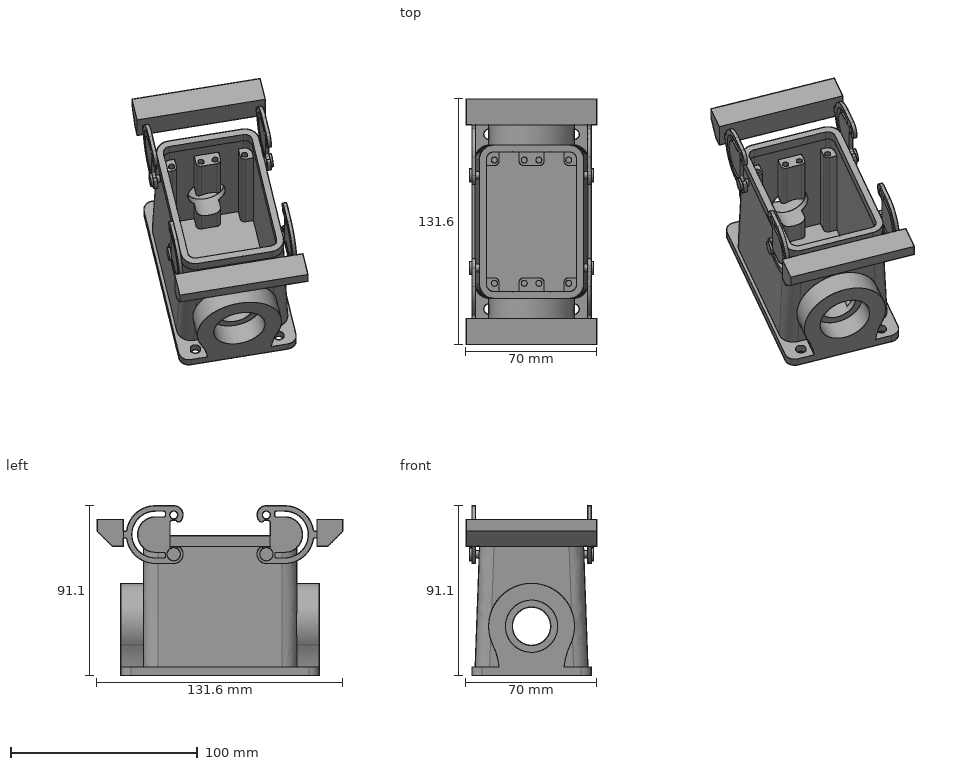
import cadquery as cq

flange_half_x = 32.0
flange_half_y = 53.2
flange_thickness = 4.8
flange_corner_radius = 5.5
flange_hole_diameter = 5.5
flange_hole_x = 22.75
flange_hole_y = 46.8

shell_foot_half_x = 30.25
shell_half_x = 27.9
shell_half_y = 41.1
shell_corner_radius = 7.8
wall_thickness = 3.7
floor_top = flange_thickness
shell_top = 69.3
rim_top = 75.0
cavity_half_x = shell_half_x - wall_thickness
cavity_half_y = shell_half_y - wall_thickness
cavity_corner_radius = shell_corner_radius - wall_thickness

entry_height = 26.5
entry_radius = 23.0
entry_flare_radius = 35.0
entry_flare_z = 16.5
entry_bore_radius = 14.0
entry_bore_depth = flange_half_y - shell_half_y
entry_hole_radius = 10.2

post_top = 62.5
post_front_y = 30.1
post_edge_radius = 2.5
corner_post_inner_x = 17.4
middle_post_half_x = 6.7
post_hole_x = (3.9, 19.9)
post_hole_y = 33.0
post_hole_diameter = 3.2
post_hole_depth = 12.0

plate_inner_x = 30.0
plate_thickness = 2.0
plate_outer_x = plate_inner_x + plate_thickness
lever_height = 75.6
plate_center_y = 34.7
plate_radius = 15.5
plate_edge_y = 26.8
slot_outer_radius = 12.5
slot_inner_radius = 9.5
slot_end_y = 29.3
slot_end_fillet = 0.8

eye_radius = 5.0
eye_y = 24.8
eye_offset_z = plate_radius - eye_radius
eye_hole_diameter = 4.1
notch_offset_z = 7.6
notch_fillet = 1.3
tip_start_y = 21.0
tip_end_y = 23.6

pin_diameter = 4.1
pin_head_diameter = 7.1
pin_head_thickness = 1.3
pin_height = lever_height - eye_offset_z

bar_half_x = 35.0
bar_inner_y = 51.8
bar_outer_y = 65.8
bar_top = 83.7
bar_bottom = 69.3
bar_chamfer = 8.1
stub_width = 3.8
stub_fillet = 0.6


def rounded_prism(half_x, half_y, radius, bottom, top):
    """Upright rectangular prism with rounded vertical edges."""
    prism = cq.Workplane("XY").workplane(offset=bottom).rect(2 * half_x, 2 * half_y)
    return prism.extrude(top - bottom).edges("|Z").fillet(radius)


def rounded_rectangle(half_x, half_y, radius):
    return cq.Sketch().rect(2 * half_x, 2 * half_y).vertices().fillet(radius)


def box_between(x_range, y_range, z_range):
    size = [end - start for start, end in (x_range, y_range, z_range)]
    corner = (x_range[0], y_range[0], z_range[0])
    return cq.Workplane("XY").box(*size, centered=False).translate(corner)


def both_sides(shape, plane):
    """The shape together with its mirror image."""
    return shape.union(shape.mirror(plane))


def make_flange():
    flange = rounded_prism(flange_half_x, flange_half_y, flange_corner_radius, 0, flange_thickness)
    holes = (
        cq.Workplane("XY")
        .rect(2 * flange_hole_x, 2 * flange_hole_y, forConstruction=True)
        .vertices()
        .circle(flange_hole_diameter / 2)
        .extrude(flange_thickness)
    )
    return flange.cut(holes)


def make_shell():
    foot = rounded_rectangle(shell_foot_half_x, shell_half_y, shell_corner_radius)
    head = rounded_rectangle(shell_half_x, shell_half_y, shell_corner_radius)
    head = head.moved(cq.Location(cq.Vector(0, 0, shell_top - flange_thickness)))
    return cq.Workplane("XY").workplane(offset=flange_thickness).placeSketch(foot, head).loft(ruled=True)


def make_cavity():
    return rounded_prism(cavity_half_x, cavity_half_y, cavity_corner_radius, floor_top, rim_top)


def make_entry_boss():
    """Round boss at the +Y end whose sides flare in to a narrower foot on the flange."""
    flare_x = (entry_radius**2 - (entry_height - entry_flare_z) ** 2) ** 0.5
    reach = (entry_radius + entry_flare_radius) / entry_radius
    flare_center_x = flare_x * reach
    flare_center_z = entry_height - (entry_height - entry_flare_z) * reach
    foot_rise = flange_thickness - flare_center_z
    foot_x = flare_center_x - (entry_flare_radius**2 - foot_rise**2) ** 0.5
    boss = (
        cq.Workplane("XZ", origin=(0, flange_half_y, 0))
        .moveTo(-foot_x, 0)
        .lineTo(-foot_x, flange_thickness)
        .radiusArc((-flare_x, entry_flare_z), -entry_flare_radius)
        .threePointArc((0, entry_height + entry_radius), (flare_x, entry_flare_z))
        .radiusArc((foot_x, flange_thickness), -entry_flare_radius)
        .lineTo(foot_x, 0)
        .close()
        .extrude(flange_half_y - cavity_half_y)
    )
    return boss


def make_entry_bore():
    """Stepped cable hole through the boss, the wall and the middle post at the +Y end."""
    start = cq.Workplane("XZ", origin=(0, flange_half_y, entry_height))
    bore = start.circle(entry_bore_radius).extrude(entry_bore_depth)
    return bore.union(start.circle(entry_hole_radius).extrude(flange_half_y - post_front_y))


def make_posts():
    """Two corner posts and one middle post along the +Y wall, with blind screw holes."""
    y_range = (post_front_y, cavity_half_y)
    z_range = (floor_top, post_top)
    corner = box_between((corner_post_inner_x, cavity_half_x), y_range, z_range)
    corner = corner.edges("|Z and <X and <Y").fillet(post_edge_radius)
    corner = corner.edges("|Z and >X and >Y").fillet(cavity_corner_radius)
    middle = box_between((-middle_post_half_x, middle_post_half_x), y_range, z_range)
    middle = middle.edges("|Z and <Y").fillet(post_edge_radius)
    hole_points = [(side * x, post_hole_y) for x in post_hole_x for side in (-1, 1)]
    holes = (
        cq.Workplane("XY")
        .workplane(offset=post_top - post_hole_depth)
        .pushPoints(hole_points)
        .circle(post_hole_diameter / 2)
        .extrude(post_hole_depth)
    )
    return both_sides(corner, "YZ").union(middle).cut(holes)


def make_slot(start):
    """U-shaped slot that leaves a ring around the solid middle of a plate."""
    slot = (
        start.moveTo(slot_end_y, slot_inner_radius)
        .lineTo(plate_center_y, slot_inner_radius)
        .threePointArc((plate_center_y + slot_inner_radius, 0), (plate_center_y, -slot_inner_radius))
        .lineTo(slot_end_y, -slot_inner_radius)
        .lineTo(slot_end_y, -slot_outer_radius)
        .lineTo(plate_center_y, -slot_outer_radius)
        .threePointArc((plate_center_y + slot_outer_radius, 0), (plate_center_y, slot_outer_radius))
        .lineTo(slot_end_y, slot_outer_radius)
        .close()
        .extrude(plate_thickness)
    )
    return slot.edges("|X and <Y").fillet(slot_end_fillet)


def make_plate():
    """Lever side plate at the +X side of the +Y end, with its stub towards the bar."""
    start = cq.Workplane("YZ", origin=(plate_inner_x, 0, lever_height))
    tip_start_z = eye_offset_z - (eye_radius**2 - (eye_y - tip_start_y) ** 2) ** 0.5
    half = (
        start.moveTo(plate_center_y, 0)
        .lineTo(plate_center_y + plate_radius, 0)
        .radiusArc((plate_center_y, plate_radius), -plate_radius)
        .lineTo(eye_y, plate_radius)
        .threePointArc((eye_y - eye_radius, eye_offset_z), (tip_start_y, tip_start_z))
        .tangentArcPoint((tip_end_y, notch_offset_z), relative=False)
        .lineTo(plate_edge_y - notch_fillet, notch_offset_z)
        .radiusArc((plate_edge_y, notch_offset_z - notch_fillet), notch_fillet)
        .lineTo(plate_edge_y, 0)
        .close()
        .extrude(plate_thickness)
    )
    hole = start.center(eye_y, eye_offset_z).circle(eye_hole_diameter / 2).extrude(plate_thickness)
    plate = half.union(half.mirror("XY", (0, 0, lever_height))).cut(hole)
    stub = box_between(
        (plate_inner_x, plate_outer_x),
        (plate_center_y + slot_outer_radius, bar_inner_y),
        (lever_height - stub_width / 2, lever_height + stub_width / 2),
    )
    stub_root_y = plate_center_y + (plate_radius**2 - (stub_width / 2) ** 2) ** 0.5
    stub_root = cq.selectors.BoxSelector(
        (plate_inner_x, stub_root_y - stub_fillet, lever_height - stub_width),
        (plate_outer_x, stub_root_y + stub_fillet, lever_height + stub_width),
    )
    plate = plate.union(stub).edges(stub_root).edges("|X").fillet(stub_fillet)
    return plate.cut(make_slot(start))


def make_pin():
    """Headed pin from the +X shell wall through the lower eye of a plate."""
    start = cq.Workplane("YZ", origin=(cavity_half_x + wall_thickness / 2, eye_y, pin_height))
    head = cq.Workplane("YZ", origin=(plate_outer_x, eye_y, pin_height))
    pin = start.circle(pin_diameter / 2).extrude(plate_outer_x - start.plane.origin.x)
    return pin.union(head.circle(pin_head_diameter / 2).extrude(pin_head_thickness))


def make_bar():
    bar = box_between((-bar_half_x, bar_half_x), (bar_inner_y, bar_outer_y), (bar_bottom, bar_top))
    return bar.edges("|X and >Y and <Z").chamfer(bar_chamfer)


def make_lever():
    """Complete lever at the +Y end: two plates on their pins, joined by the grip bar."""
    side = make_plate().union(make_pin())
    return both_sides(side, "YZ").union(make_bar())


def make_housing():
    housing = make_flange().union(make_shell())
    housing = housing.union(both_sides(make_entry_boss(), "XZ"))
    housing = housing.cut(make_cavity()).union(both_sides(make_posts(), "XZ"))
    housing = housing.cut(both_sides(make_entry_bore(), "XZ"))
    return housing.union(both_sides(make_lever(), "XZ"))


def make_rim():
    """Rectangular frame that sits on the shell and continues its inner wall."""
    frame = rounded_prism(shell_half_x, shell_half_y, shell_corner_radius, shell_top, rim_top)
    return frame.cut(make_cavity())


housing = make_housing()
rim = make_rim()
result = cq.Compound.makeCompound([housing.solids().val(), rim.solids().val()])